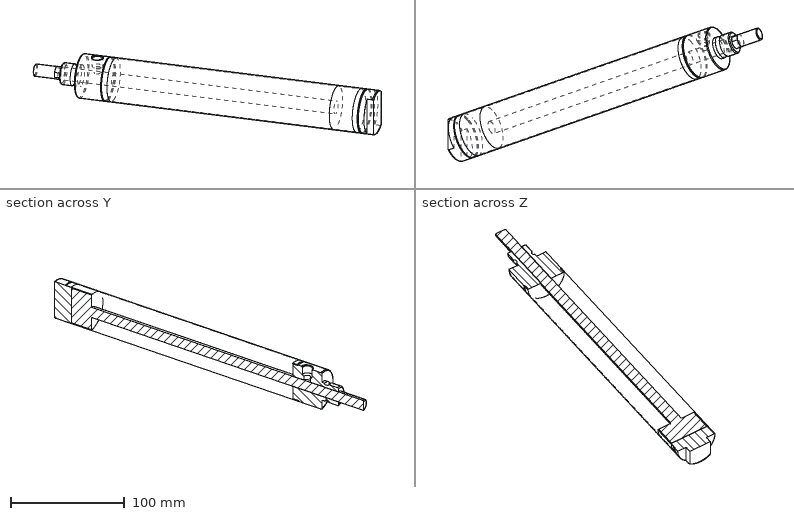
import cadquery as cq
import math


total_length = 316.0
body_diameter = 39.5
edge_length = 1.0
edge_depth = 0.5

rod_diameter = 11.5
rod_end_diameter = 11.0
rod_tip_bevel_depth = 1.0
rod_tip_bevel_length = 0.5
flats_start = 20.0
flats_across = 10.5
piston_length = 21.2

nose_start = 25.5
nose_diameter = 19.5
nose_chamfer = 1.0
neck_start = 36.5
neck_end = 39.8
neck_diameter = 17.0
neck_fillet = 1.0
collar_diameter = 19.5
cap_front = 42.5

port_x = 57.8
port_mouth_diameter = 10.7
port_diameter = 9.5
port_floor = 11.0
passage_diameter = 6.3

tube_start = 67.0
tube_end = 304.5
tube_wall = 0.7
spigot_length = 5.7

tang_start = 310.0
tang_thickness = 21.8

body_radius = body_diameter / 2
edge_radius = body_radius - edge_depth
bore_radius = body_radius - tube_wall
rod_radius = rod_diameter / 2
rod_end_radius = rod_end_diameter / 2
piston_end = tube_end - spigot_length
piston_start = piston_end - piston_length


def turned(points):
    """Revolve a closed (x, radius) outline about the X axis."""
    return cq.Workplane("XZ").polyline(points).close().revolve(360, (0, 0, 0), (1, 0, 0))


def cut_flats(body, start, end, across):
    """Cut flats facing -Y and +Y between two X positions, leaving the width given by across."""
    for side in (-1, 1):
        cutter = (
            cq.Workplane("XY")
            .box(end - start, body_diameter, body_diameter)
            .translate(((start + end) / 2, side * (across + body_diameter) / 2, 0))
        )
        body = body.cut(cutter)
    return body


def make_rod():
    """Rod with wrench flats near its tip and the piston at its inner end."""
    rod = turned([
        (0, 0),
        (0, rod_end_radius - rod_tip_bevel_depth),
        (rod_tip_bevel_length, rod_end_radius),
        (flats_start, rod_end_radius),
        (flats_start, rod_radius),
        (piston_start, rod_radius),
        (piston_start, bore_radius),
        (piston_end, bore_radius),
        (piston_end, 0),
    ])
    return cut_flats(rod, flats_start, nose_start, flats_across)


def make_front_cap():
    """Cap with a nose, a filleted neck groove, a bore for the rod and a port on top."""
    nose_radius = nose_diameter / 2
    neck_radius = neck_diameter / 2
    collar_radius = collar_diameter / 2
    spigot_end = tube_start + spigot_length
    cap = turned([
        (nose_start, rod_radius),
        (nose_start, nose_radius - nose_chamfer),
        (nose_start + nose_chamfer, nose_radius),
        (neck_start - nose_chamfer, nose_radius),
        (neck_start, neck_radius),
        (neck_end, neck_radius),
        (neck_end, collar_radius),
        (cap_front, collar_radius),
        (cap_front, edge_radius),
        (cap_front + edge_length, body_radius),
        (tube_start, body_radius),
        (tube_start, bore_radius),
        (spigot_end, bore_radius),
        (spigot_end, rod_radius),
    ])
    neck_ends = [
        edge
        for edge in cap.edges("%CIRCLE").vals()
        if math.isclose(edge.radius(), neck_radius)
    ]
    cap = cap.newObject(neck_ends).fillet(neck_fillet)
    return cap.cut(port_cutter())


def port_cutter():
    """Stepped port with a chamfered mouth, reaching from above the cap down to the rod bore."""
    mouth_radius = port_mouth_diameter / 2
    port_radius = port_diameter / 2
    passage_radius = passage_diameter / 2
    mouth_height = math.sqrt(body_radius**2 - mouth_radius**2)
    return (
        cq.Workplane("XZ", origin=(port_x, 0, 0))
        .polyline([
            (0, 0),
            (passage_radius, 0),
            (passage_radius, port_floor - (port_radius - passage_radius)),
            (port_radius, port_floor),
            (port_radius, mouth_height - (mouth_radius - port_radius)),
            (mouth_radius, mouth_height),
            (mouth_radius, body_diameter),
            (0, body_diameter),
        ])
        .close()
        .revolve(360, (0, 0, 0), (0, 1, 0))
    )


def make_tube():
    """Thin tube with bevelled outer ends."""
    return turned([
        (tube_start, bore_radius),
        (tube_start, edge_radius),
        (tube_start + edge_length, body_radius),
        (tube_end - edge_length, body_radius),
        (tube_end, edge_radius),
        (tube_end, bore_radius),
    ])


def make_rear_cap():
    """Solid cap with a flat mounting tang at its end."""
    cap = turned([
        (piston_end, 0),
        (piston_end, bore_radius),
        (tube_end, bore_radius),
        (tube_end, body_radius),
        (total_length - edge_length, body_radius),
        (total_length, edge_radius),
        (total_length, 0),
    ])
    return cut_flats(cap, tang_start, total_length, tang_thickness)


rod = make_rod()
front_cap = make_front_cap()
tube = make_tube()
rear_cap = make_rear_cap()

result = cq.Compound.makeCompound([rod.val(), front_cap.val(), tube.val(), rear_cap.val()])